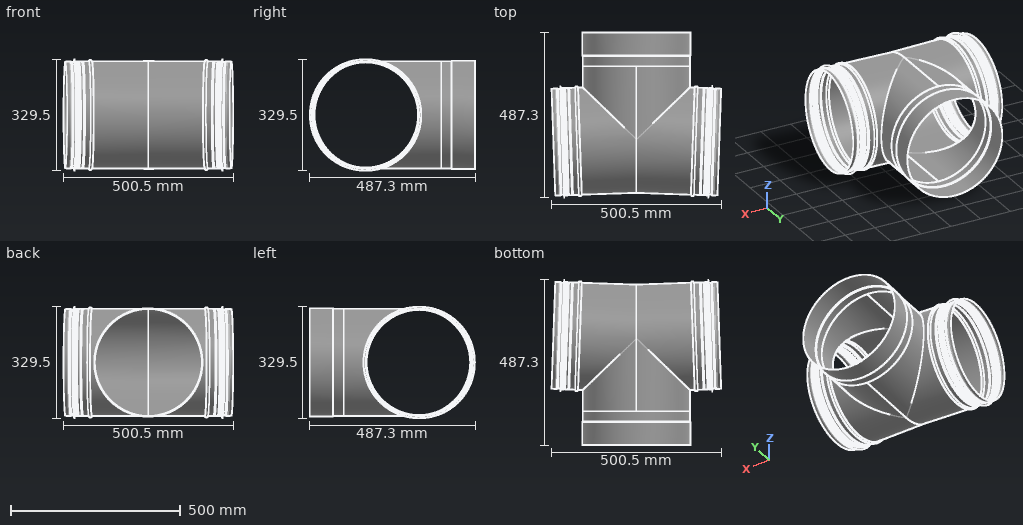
import cadquery as cq
import math


overall_width = 500.5
sheet = 0.75
tilt = 2.0
body_radius = 317.0 / 2
bore_radius = body_radius - sheet

saddle_end = 215.0
shoulder_start = 245.0
shoulder_end = 247.0
branch_end = 315.0
socket_radius = 320.0 / 2

spigot_length = 79.0
spigot_radius = body_radius
lead_radius = 315.0 / 2
lead_length = 11.0
groove_radius = 311.5 / 2
groove_start = 19.5
groove_end = 49.0
groove_ramp = 4.0
bead_start = 69.5
bead_end = 78.0
bead_rise = 4.0

strip_radius = 313.0 / 2
lip_radius = 329.5 / 2
rib_radius = 318.0 / 2
lip_start = 25.5
rib_starts = (30.5, 34.5)
fin_width = 2.5
heel_start = 38.5
heel_ramp = 2.5

tilt_angle = math.radians(tilt)
leg_length = (overall_width / 2 - lead_radius * math.sin(tilt_angle)) / math.cos(tilt_angle)
leg_tube_end = leg_length - spigot_length
overrun = 5.0


def revolved(profile):
    """Turn a closed (radius, distance) profile about the Y axis."""
    return profile.close().revolve(360, (0, 0, 0), (0, 1, 0))


def aim_along_leg(body, side):
    """Turn a body that points along +Y so that it points along the left (-1) or right (+1) leg."""
    return body.rotate((0, 0, 0), (0, 0, 1), -side * (90 + tilt))


def rod(radius, start, end):
    """Solid cylinder on the Y axis."""
    return cq.Workplane("XZ", origin=(0, start, 0)).circle(radius).extrude(start - end)


def half_tee_core(radius, side, extra_length=0.0):
    """Solid run leg joined to the branch, kept on one side of the X = 0 plane where the halves meet."""
    branch = rod(radius, 0, saddle_end + extra_length)
    leg = aim_along_leg(rod(radius, -radius, leg_tube_end + extra_length), side)
    block_size = 2 * overall_width
    half_space = cq.Workplane("XY").box(block_size, block_size, block_size)
    half_space = half_space.translate((side * block_size / 2, 0, 0))
    return leg.union(branch).intersect(half_space)


def half_tee(side):
    return half_tee_core(body_radius, side).cut(half_tee_core(bore_radius, side, overrun))


def branch_socket():
    return revolved(
        cq.Workplane("XY")
        .moveTo(bore_radius, saddle_end)
        .lineTo(body_radius, saddle_end)
        .lineTo(body_radius, shoulder_start)
        .lineTo(socket_radius, shoulder_end)
        .lineTo(socket_radius, branch_end)
        .lineTo(socket_radius - sheet, branch_end)
        .lineTo(socket_radius - sheet, shoulder_end)
        .lineTo(bore_radius, shoulder_start)
    )


def spigot_core(inset):
    """Filled spigot shape, its surface moved towards the axis by the inset."""
    main = spigot_radius - inset
    groove = groove_radius - inset
    bead_middle = (bead_start + bead_end) / 2
    return revolved(
        cq.Workplane("XY")
        .moveTo(0, 0)
        .lineTo(lead_radius - inset, 0)
        .lineTo(main, lead_length)
        .lineTo(main, groove_start - groove_ramp)
        .lineTo(groove, groove_start)
        .lineTo(groove, groove_end)
        .lineTo(main, groove_end + groove_ramp)
        .lineTo(main, bead_start)
        .threePointArc((main + bead_rise, bead_middle), (main, bead_end))
        .lineTo(main, spigot_length)
        .lineTo(0, spigot_length)
    )


def gasket_profile():
    profile = (
        cq.Workplane("XY")
        .moveTo(groove_radius, groove_start)
        .lineTo(strip_radius, groove_start)
    )
    fins = [(lip_start, lip_radius)] + [(rib_start, rib_radius) for rib_start in rib_starts]
    for fin_start, tip_radius in fins:
        profile = (
            profile.lineTo(strip_radius, fin_start)
            .lineTo(tip_radius, fin_start + fin_width / 2)
            .lineTo(strip_radius, fin_start + fin_width)
        )
    return (
        profile.lineTo(strip_radius, heel_start)
        .lineTo(spigot_radius, heel_start + heel_ramp)
        .lineTo(spigot_radius, groove_end)
        .lineTo(groove_radius, groove_end)
    )


def on_leg(body, side):
    """Place a body measured from the open end (at the origin, growing along +Y) on a run leg."""
    facing_out = body.rotate((0, 0, 0), (0, 0, 1), 180).translate((0, leg_length, 0))
    return aim_along_leg(facing_out, side)


def spigot(side):
    return on_leg(spigot_core(0).cut(spigot_core(sheet)), side)


def gasket(side):
    return on_leg(revolved(gasket_profile()), side)


bodies = [branch_socket()]
for leg_side in (-1, 1):
    bodies += [half_tee(leg_side), spigot(leg_side), gasket(leg_side)]

result = cq.Compound.makeCompound([body.solids().val() for body in bodies])